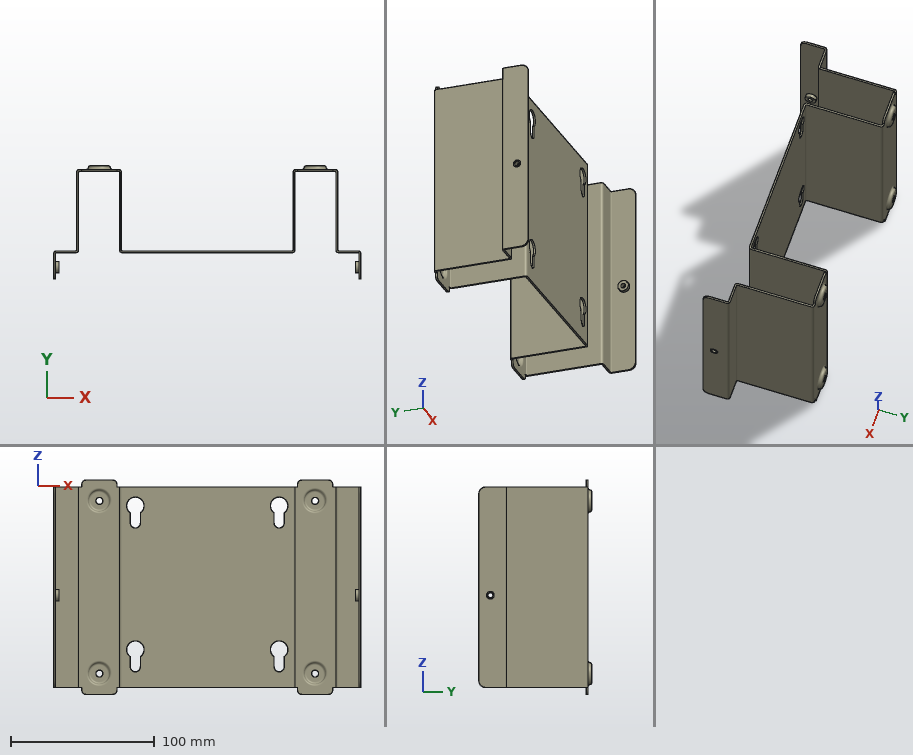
import cadquery as cq

WIDTH = 213.5
BODY_HEIGHT = 139.5
TAB_STRIP_HEIGHT = 149.0
SHEET = 1.37
BEND_INNER_RADIUS = 0.6
BEND_OUTER_RADIUS = BEND_INNER_RADIUS + SHEET

FLANGE_DEPTH = 19.5
CHANNEL_BACK = 76.0
CHANNEL_CENTER_X = 75.2
CHANNEL_INNER_WIDTH = 28.5
FLANGE_CORNER_RADIUS = 5.0

TAB_CENTER_X = 75.0
TAB_WIDTH = 24.5
TAB_CORNER_RADIUS = 3.0

DIMPLE_PITCH_Z = 120.0
DIMPLE_HEIGHT = 2.5
DIMPLE_MOUTH_DIAMETER = 17.7
DIMPLE_FLOOR_DIAMETER = 11.7
DIMPLE_SIDE_OFFSET = 0.32
SCREW_HOLE_DIAMETER = 4.7

KEYHOLE_PITCH = 100.0
KEYHOLE_UPPER_Z = 56.5
KEYHOLE_HEAD_DIAMETER = 12.0
KEYHOLE_SLOT_WIDTH = 6.8
KEYHOLE_SLOT_DROP = 12.0

NUT_Y = 8.1
NUT_Z = -5.5
NUT_HEAD_DIAMETER = 8.0
NUT_HEAD_LENGTH = 2.5
NUT_SHANK_DIAMETER = 5.3
NUT_THREAD_DIAMETER = 3.5

HALF_WIDTH = WIDTH / 2
FLANGE_INNER_X = HALF_WIDTH - SHEET
WEB_FRONT = FLANGE_DEPTH - SHEET
BACK_FRONT = CHANNEL_BACK - SHEET
CHANNEL_INNER_X = CHANNEL_CENTER_X - CHANNEL_INNER_WIDTH / 2
CHANNEL_OUTER_X = CHANNEL_CENTER_X + CHANNEL_INNER_WIDTH / 2
SIDES = (-1, 1)

FRONT_SKIN = [
    (CHANNEL_INNER_X, WEB_FRONT),
    (CHANNEL_INNER_X, BACK_FRONT),
    (CHANNEL_OUTER_X, BACK_FRONT),
    (CHANNEL_OUTER_X, WEB_FRONT),
    (FLANGE_INNER_X, WEB_FRONT),
]
BACK_SKIN = [
    (CHANNEL_INNER_X - SHEET, FLANGE_DEPTH),
    (CHANNEL_INNER_X - SHEET, CHANNEL_BACK),
    (CHANNEL_OUTER_X + SHEET, CHANNEL_BACK),
    (CHANNEL_OUTER_X + SHEET, FLANGE_DEPTH),
    (HALF_WIDTH, FLANGE_DEPTH),
]
FREE_EDGE = [(FLANGE_INNER_X, 0), (HALF_WIDTH, 0)]
OUTER_BENDS = [FRONT_SKIN[0], FRONT_SKIN[3], BACK_SKIN[1], BACK_SKIN[2], BACK_SKIN[4]]
INNER_BENDS = [FRONT_SKIN[1], FRONT_SKIN[2], FRONT_SKIN[4], BACK_SKIN[0], BACK_SKIN[3]]


def round_bends(sheet, corners, radius):
    """Fillet the vertical edges at the given profile corners, on both halves."""
    edges = []
    for x, y in corners:
        for side in SIDES:
            edges += sheet.edges(cq.selectors.NearestToPointSelector((side * x, y, 0))).vals()
    return sheet.newObject(edges).fillet(radius)


def make_folded_sheet():
    right_half = FRONT_SKIN + FREE_EDGE + BACK_SKIN[::-1]
    left_half = [(-x, y) for x, y in reversed(right_half)]
    sheet = (
        cq.Workplane("XY")
        .polyline(right_half + left_half)
        .close()
        .extrude(BODY_HEIGHT / 2, both=True)
    )
    sheet = round_bends(sheet, OUTER_BENDS, BEND_OUTER_RADIUS)
    sheet = round_bends(sheet, INNER_BENDS, BEND_INNER_RADIUS)
    return sheet.faces("<Y").edges("|X").fillet(FLANGE_CORNER_RADIUS)


def make_tab_strip(center_x):
    """Strip of the channel back that ends in a tab above and below the body."""
    return (
        cq.Workplane("XY")
        .box(TAB_WIDTH, SHEET, TAB_STRIP_HEIGHT)
        .edges("|Y")
        .fillet(TAB_CORNER_RADIUS)
        .translate((center_x, CHANNEL_BACK - SHEET / 2, 0))
    )


def make_cylinder(diameter, length, start, direction):
    return cq.Workplane(
        cq.Solid.makeCylinder(diameter / 2, length, cq.Vector(*start), cq.Vector(*direction))
    )


def make_dimple_side(base_y, radial_offset):
    """Disc on the Y axis whose rim rises from base_y in two equal arcs, tangent to flat sheet."""
    mouth_r = DIMPLE_MOUTH_DIAMETER / 2 + radial_offset
    floor_r = DIMPLE_FLOOR_DIAMETER / 2 + radial_offset
    middle = ((mouth_r + floor_r) / 2, base_y + DIMPLE_HEIGHT / 2)
    top_y = base_y + DIMPLE_HEIGHT
    return (
        cq.Workplane("XY")
        .moveTo(0, top_y)
        .lineTo(floor_r, top_y)
        .tangentArcPoint(middle, relative=False)
        .tangentArcPoint((mouth_r, base_y), relative=False)
        .lineTo(0, base_y)
        .close()
        .revolve(360, (0, 0, 0), (0, 1, 0))
    )


def press_dimple(sheet, x, z):
    """Raise a hollow dimple on the channel back and pierce its floor."""
    boss = make_dimple_side(CHANNEL_BACK, DIMPLE_SIDE_OFFSET).translate((x, 0, z))
    hollow = make_dimple_side(BACK_FRONT, 0).translate((x, 0, z))
    hole = make_cylinder(SCREW_HOLE_DIAMETER, SHEET, (x, BACK_FRONT + DIMPLE_HEIGHT, z), (0, 1, 0))
    return sheet.union(boss).cut(hollow).cut(hole)


def make_keyhole(x, z):
    """Cutter for a keyhole: round head at (x, z) with a round-ended slot below it."""
    head = make_cylinder(KEYHOLE_HEAD_DIAMETER, SHEET, (x, WEB_FRONT, z), (0, 1, 0))
    slot = cq.Workplane("XY").box(KEYHOLE_SLOT_WIDTH, SHEET, KEYHOLE_SLOT_DROP)
    slot = slot.translate((x, WEB_FRONT + SHEET / 2, z - KEYHOLE_SLOT_DROP / 2))
    slot_end = make_cylinder(
        KEYHOLE_SLOT_WIDTH, SHEET, (x, WEB_FRONT, z - KEYHOLE_SLOT_DROP), (0, 1, 0)
    )
    return head.union(slot).union(slot_end)


def make_bracket():
    bracket = make_folded_sheet()
    for side in SIDES:
        tab_x = side * TAB_CENTER_X
        bracket = bracket.union(make_tab_strip(tab_x))
        for end in SIDES:
            bracket = press_dimple(bracket, tab_x, end * DIMPLE_PITCH_Z / 2)
        for drop in (0, KEYHOLE_PITCH):
            bracket = bracket.cut(make_keyhole(side * KEYHOLE_PITCH / 2, KEYHOLE_UPPER_Z - drop))
        nut_hole = make_cylinder(
            NUT_SHANK_DIAMETER, SHEET, (side * HALF_WIDTH, NUT_Y, NUT_Z), (-side, 0, 0)
        )
        bracket = bracket.cut(nut_hole)
    return bracket


def make_clinch_nut(side):
    """Nut whose shank fills the flange hole and whose head sits on the inner face."""
    inward = (-side, 0, 0)
    outer_end = (side * HALF_WIDTH, NUT_Y, NUT_Z)
    head_start = (side * FLANGE_INNER_X, NUT_Y, NUT_Z)
    shank = make_cylinder(NUT_SHANK_DIAMETER, SHEET, outer_end, inward)
    head = make_cylinder(NUT_HEAD_DIAMETER, NUT_HEAD_LENGTH, head_start, inward)
    thread = make_cylinder(NUT_THREAD_DIAMETER, SHEET + NUT_HEAD_LENGTH, outer_end, inward)
    return shank.union(head).cut(thread)


bracket = make_bracket()
clinch_nuts = [make_clinch_nut(side) for side in SIDES]

result = cq.Compound.makeCompound([bracket.val(), *[nut.val() for nut in clinch_nuts]])